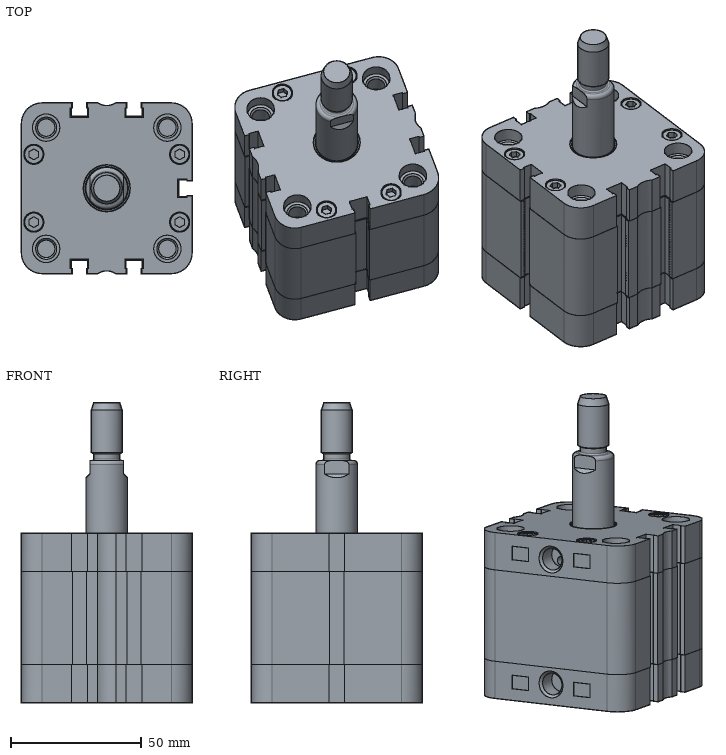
import cadquery as cq
import math


SIDE = 65.5
CORNER_RADIUS = 8.0
TOTAL_HEIGHT = 115.0
HOUSING_HEIGHT = 65.0
CAP_HEIGHT = 14.6
HALF_SIDE = SIDE / 2
BARREL_HEIGHT = HOUSING_HEIGHT - 2 * CAP_HEIGHT
HEAD_CAP_BOTTOM = HOUSING_HEIGHT - CAP_HEIGHT

SLOT_OFFSET = 10.5
BARREL_SLOT = {"opening": 5.4, "width": 6.2, "lip": 2.0, "depth": 5.2}
CAP_SLOT = {"opening": 6.1, "width": 7.1, "lip": 2.0, "depth": 5.6}
GROOVE_WIDTH = 6.9
GROOVE_DEPTH = 1.0

PORT_DIAMETER = 8.5
PORT_MOUTH_DIAMETER = 10.5
PORT_DEPTH = 8.0
PORT_INSET = 8.0
AIR_HOLE_DIAMETER = 3.5
AIR_HOLE_DROP = 2.0
AIR_HOLE_LENGTH = 3.5

LABEL_WIDTH = 7.1
LABEL_HEIGHT = 5.3
LABEL_DEPTH = 0.2
LABEL_OFFSET = 13.6
LABEL_INSET = 7.2

MOUNT_OFFSET = 23.2
MOUNT_BORE_DIAMETER = 10.5
MOUNT_BORE_DEPTH = 5.0
THREAD_MOUTH_DIAMETER = 8.0
THREAD_DIAMETER = 6.7
THREAD_DEPTH = 12.6

SCREW_X = 28.0
SCREW_Y = 13.0
SCREW_RING_DIAMETER = 7.7
SCREW_HEAD_DIAMETER = 7.0
SCREW_HEAD_RECESS = 0.3
HEX_ACROSS_FLATS = 3.6
HEX_DEPTH = 2.3

ROD_DIAMETER = 16.0
SHOULDER_Z = 92.9
SHOULDER_RADIUS = 1.6
NECK_DIAMETER = 10.0
NECK_FILLET = 0.6
ROD_THREAD_DIAMETER = 12.0
ROD_THREAD_BOTTOM = 95.9
TIP_DIAMETER = 10.0
TIP_CHAMFER_HEIGHT = 2.9
ACROSS_FLATS = 13.0
FLAT_BOTTOM = 87.7

SEAL_RECESS_DIAMETER = 17.7
SEAL_MOUTH_DIAMETER = 18.0
SEAL_RECESS_DEPTH = 0.3
GUIDE_MOUTH_DIAMETER = 16.6


def revolve_profile(points):
    """Solid of revolution about Z from (radius, z) points."""
    return cq.Workplane("XZ").polyline(points).close().revolve(360, (0, 0, 0), (0, 1, 0))


def at_points(tool, points):
    """Copies of a tool moved to each (x, y) point."""
    copies = cq.Workplane("XY")
    for x, y in points:
        copies = copies.add(tool.translate((x, y, 0)))
    return copies.combine()


def slot_tool(sizes, height):
    """T-slot on the +Y side, centred on X = 0."""
    opening = cq.Workplane("XY").box(
        sizes["opening"], sizes["depth"], height, centered=(True, False, False)
    )
    undercut = cq.Workplane("XY").box(
        sizes["width"], sizes["depth"] - sizes["lip"], height, centered=(True, False, False)
    )
    return opening.union(undercut).translate((0, HALF_SIDE - sizes["depth"], 0))


def section_block(height, slot_sizes):
    """Rounded square block with its T-slots and finger grooves, standing on Z = 0."""
    block = cq.Workplane("XY").rect(SIDE, SIDE).extrude(height).edges("|Z").fillet(CORNER_RADIUS)

    slot = slot_tool(slot_sizes, height)
    block = block.cut(slot.rotate((0, 0, 0), (0, 0, 1), -90))
    half_width = GROOVE_WIDTH / 2
    for side in (-1, 1):
        edge = side * HALF_SIDE
        turned = slot.rotate((0, 0, 0), (0, 0, 1), 90 - side * 90)
        for x in (-SLOT_OFFSET, SLOT_OFFSET):
            block = block.cut(turned.translate((x, 0, 0)))
        groove = (
            cq.Workplane("XY")
            .moveTo(-half_width, edge)
            .threePointArc((0, edge - side * GROOVE_DEPTH), (half_width, edge))
            .close()
            .extrude(height)
        )
        block = block.cut(groove)
    return block


def port_tool(z):
    """Port bored into the -X side, with a 45 degree mouth."""
    radius = PORT_DIAMETER / 2
    mouth_radius = PORT_MOUTH_DIAMETER / 2
    mouth_depth = mouth_radius - radius
    profile = [
        (0, 0),
        (mouth_radius, 0),
        (radius, mouth_depth),
        (radius, PORT_DEPTH),
        (0, PORT_DEPTH),
    ]
    return revolve_profile(profile).rotate((0, 0, 0), (0, 1, 0), 90).translate((-HALF_SIDE, 0, z))


def label_tools(z):
    """Shallow rectangles on both sides of a port."""
    return (
        cq.Workplane("YZ", origin=(-HALF_SIDE, 0, z))
        .pushPoints([(-LABEL_OFFSET, 0), (LABEL_OFFSET, 0)])
        .rect(LABEL_WIDTH, LABEL_HEIGHT)
        .extrude(LABEL_DEPTH)
    )


def make_barrel():
    return section_block(BARREL_HEIGHT, BARREL_SLOT).translate((0, 0, CAP_HEIGHT))


def make_end_cap():
    cap = section_block(CAP_HEIGHT, CAP_SLOT)
    return cap.cut(port_tool(PORT_INSET)).cut(label_tools(LABEL_INSET))


def air_hole_tool(port_z):
    """Small hole leading inwards from the bottom of the head port."""
    return (
        cq.Workplane("YZ", origin=(PORT_DEPTH - HALF_SIDE, 0, port_z - AIR_HOLE_DROP))
        .circle(AIR_HOLE_DIAMETER / 2)
        .extrude(AIR_HOLE_LENGTH)
    )


def mount_hole_tool():
    """Counterbored blind hole with a chamfered thread mouth."""
    thread_radius = THREAD_DIAMETER / 2
    mouth_radius = THREAD_MOUTH_DIAMETER / 2
    bore_floor = HOUSING_HEIGHT - MOUNT_BORE_DEPTH
    hole_floor = HOUSING_HEIGHT - THREAD_DEPTH
    return revolve_profile([
        (0, HOUSING_HEIGHT),
        (MOUNT_BORE_DIAMETER / 2, HOUSING_HEIGHT),
        (MOUNT_BORE_DIAMETER / 2, bore_floor),
        (mouth_radius, bore_floor),
        (thread_radius, bore_floor - (mouth_radius - thread_radius)),
        (thread_radius, hole_floor),
        (0, hole_floor),
    ])


def screw_head_tool():
    """Shallow recess that leaves a sunken, chamfered screw head, with its hex socket."""
    ring_radius = SCREW_RING_DIAMETER / 2
    head_radius = SCREW_HEAD_DIAMETER / 2
    head_top = HOUSING_HEIGHT - SCREW_HEAD_RECESS
    recess = revolve_profile([
        (0, HOUSING_HEIGHT),
        (ring_radius, HOUSING_HEIGHT),
        (ring_radius, head_top - (ring_radius - head_radius)),
        (head_radius, head_top),
        (0, head_top),
    ])
    socket = (
        cq.Workplane("XY", origin=(0, 0, head_top))
        .transformed(rotate=(0, 0, 90))
        .polygon(6, HEX_ACROSS_FLATS / math.cos(math.pi / 6))
        .extrude(-HEX_DEPTH)
    )
    return recess.union(socket)


def rod_opening_tool():
    """Stepped bore for the rod, with chamfers at the recess and at the guide."""
    recess_radius = SEAL_RECESS_DIAMETER / 2
    mouth_radius = SEAL_MOUTH_DIAMETER / 2
    guide_radius = ROD_DIAMETER / 2
    guide_mouth_radius = GUIDE_MOUTH_DIAMETER / 2
    recess_floor = HOUSING_HEIGHT - SEAL_RECESS_DEPTH
    return revolve_profile([
        (0, HOUSING_HEIGHT),
        (mouth_radius, HOUSING_HEIGHT),
        (recess_radius, HOUSING_HEIGHT - (mouth_radius - recess_radius)),
        (recess_radius, recess_floor),
        (guide_mouth_radius, recess_floor),
        (guide_radius, recess_floor - (guide_mouth_radius - guide_radius)),
        (guide_radius, HEAD_CAP_BOTTOM),
        (0, HEAD_CAP_BOTTOM),
    ])


def make_head_cap():
    port_z = HOUSING_HEIGHT - PORT_INSET
    mount_points = [(x, y) for x in (-MOUNT_OFFSET, MOUNT_OFFSET) for y in (-MOUNT_OFFSET, MOUNT_OFFSET)]
    screw_points = [(x, y) for x in (-SCREW_X, SCREW_X) for y in (-SCREW_Y, SCREW_Y)]
    cap = section_block(CAP_HEIGHT, CAP_SLOT).translate((0, 0, HEAD_CAP_BOTTOM))
    cap = cap.cut(port_tool(port_z)).cut(air_hole_tool(port_z))
    cap = cap.cut(label_tools(HOUSING_HEIGHT - LABEL_INSET))
    cap = cap.cut(at_points(mount_hole_tool(), mount_points))
    cap = cap.cut(at_points(screw_head_tool(), screw_points))
    return cap.cut(rod_opening_tool())


def make_rod():
    """Stepped rod with a rounded shoulder, a relief neck, a threaded end and two wrench flats."""
    rod_radius = ROD_DIAMETER / 2
    neck_radius = NECK_DIAMETER / 2
    thread_radius = ROD_THREAD_DIAMETER / 2
    round_point = math.sqrt(0.5)
    shoulder_inner = rod_radius - SHOULDER_RADIUS
    shoulder_start = SHOULDER_Z - SHOULDER_RADIUS
    shoulder_middle = (
        shoulder_inner + SHOULDER_RADIUS * round_point,
        shoulder_start + SHOULDER_RADIUS * round_point,
    )
    fillet_outer = neck_radius + NECK_FILLET
    fillet_top = SHOULDER_Z + NECK_FILLET
    fillet_middle = (
        fillet_outer - NECK_FILLET * round_point,
        fillet_top - NECK_FILLET * round_point,
    )
    neck_top = ROD_THREAD_BOTTOM - (thread_radius - neck_radius) / 2
    rod = (
        cq.Workplane("XZ")
        .moveTo(0, HEAD_CAP_BOTTOM)
        .lineTo(rod_radius, HEAD_CAP_BOTTOM)
        .lineTo(rod_radius, shoulder_start)
        .threePointArc(shoulder_middle, (shoulder_inner, SHOULDER_Z))
        .lineTo(fillet_outer, SHOULDER_Z)
        .threePointArc(fillet_middle, (neck_radius, fillet_top))
        .lineTo(neck_radius, neck_top)
        .lineTo(thread_radius, ROD_THREAD_BOTTOM)
        .lineTo(thread_radius, TOTAL_HEIGHT - TIP_CHAMFER_HEIGHT)
        .lineTo(TIP_DIAMETER / 2, TOTAL_HEIGHT)
        .lineTo(0, TOTAL_HEIGHT)
        .close()
        .revolve(360, (0, 0, 0), (0, 1, 0))
    )

    half_flats = ACROSS_FLATS / 2
    runout = rod_radius - half_flats
    for side in (-1, 1):
        flat = (
            cq.Workplane("XZ")
            .polyline([
                (side * half_flats, SHOULDER_Z),
                (side * half_flats, FLAT_BOTTOM),
                (side * rod_radius, FLAT_BOTTOM - runout),
                (side * rod_radius, SHOULDER_Z),
            ])
            .close()
            .extrude(rod_radius, both=True)
        )
        rod = rod.cut(flat)
    return rod


end_cap = make_end_cap()
barrel = make_barrel()
head_cap = make_head_cap()
rod = make_rod()

result = cq.Compound.makeCompound([body.solids().val() for body in (end_cap, barrel, head_cap, rod)])